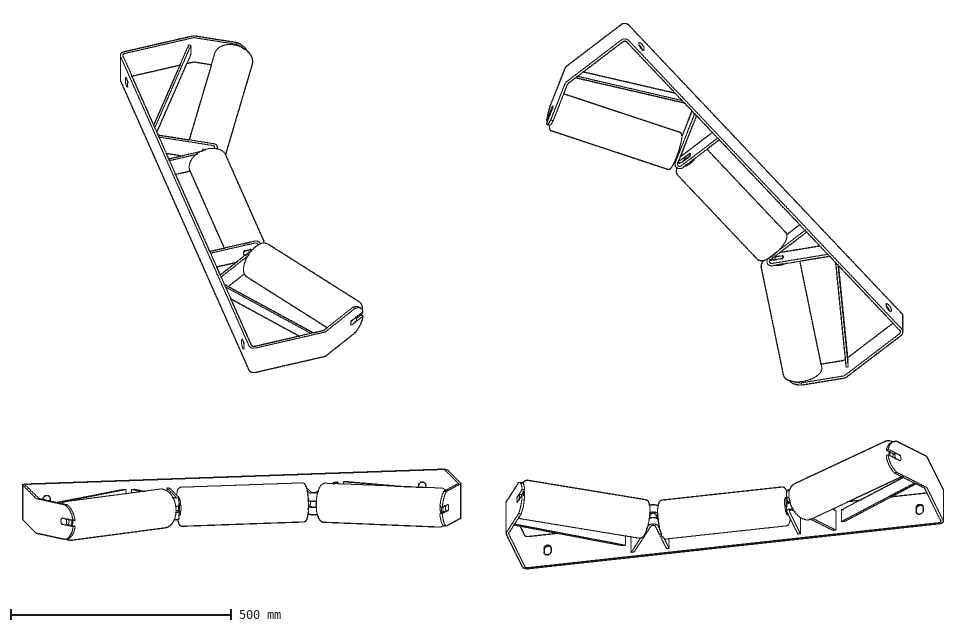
import cadquery as cq
import math


frame_length = 980.0
strip_thickness = 6.0
frame_height = 80.0
trough_angle = 30.0
center_support_gap = 300.0
wing_support_gap = 298.0

roller_diameter = 89.0
roller_length = 291.0
roller_edge_radius = 6.0
hub_diameter = 40.0
hub_length = 3.0
shaft_diameter = 20.0
shaft_flat_width = 14.0
shaft_length = wing_support_gap + 2 * strip_thickness
center_axis_y = 100.0
bracket_axis_z = 34.0
frame_axis_z = 41.0
wing_axis_height = 96.0

frame_corner_radius = 12.0
wing_bend_y = 177.8
wing_plate_length = 128.5
wing_end_rise = 28.0
mount_slot_offset = 433.0
mount_slot_width = 17.0
mount_slot_height = 25.0

bracket_height = 50.0
bracket_base_z = 10.0
bracket_bend_radius = 11.0

brace_angle = 35.2
brace_thickness = 5.0
brace_height = 30.0
brace_base_z = 30.0
brace_foot_x = 251.0

half_length = frame_length / 2
cos_trough = math.cos(math.radians(trough_angle))
sin_trough = math.sin(math.radians(trough_angle))
wing_normal = cq.Vector(cos_trough, -sin_trough, 0)
wing_along = cq.Vector(sin_trough, cos_trough, 0)
wing_bend = cq.Vector(-half_length, wing_bend_y, 0)
to_roller_middle = strip_thickness + wing_support_gap / 2
wing_center_z = (bracket_axis_z + frame_axis_z) / 2
wing_tilt = math.degrees(math.asin((frame_axis_z - bracket_axis_z) / wing_support_gap))


def wing_point(depth, along):
    """Point in the XY plane, measured from the outer face of the left wing plate."""
    return wing_bend + wing_normal * depth + wing_along * along


wing_center = wing_point(to_roller_middle, wing_axis_height)

center_place = cq.Location(cq.Vector(0, center_axis_y, bracket_axis_z))
wing_place = (
    cq.Location(cq.Vector(wing_center.x, wing_center.y, wing_center_z))
    * cq.Location(cq.Vector(), cq.Vector(0, 0, 1), -trough_angle)
    * cq.Location(cq.Vector(), cq.Vector(0, 1, 0), wing_tilt)
)


def mirrored(body):
    """Copy of a left-hand body on the right-hand side."""
    return body.mirror("YZ")


def x_cylinder(diameter, length):
    """Cylinder centred on the origin along X."""
    return cq.Workplane("YZ", origin=(-length / 2, 0, 0)).circle(diameter / 2).extrude(length)


def make_roller():
    """Roller with its hubs and flatted shaft, centred on the origin along X."""
    shell = x_cylinder(roller_diameter, roller_length).faces("<X or >X").edges().fillet(roller_edge_radius)
    hubs = x_cylinder(hub_diameter, roller_length + 2 * hub_length)
    flats = cq.Workplane().box(shaft_length, shaft_diameter, shaft_flat_width)
    shaft = x_cylinder(shaft_diameter, shaft_length).intersect(flats)
    return shell.union(hubs).union(shaft)


def make_shaft_slots():
    """Cutter for the slots that hold a shaft: round bottom, open towards local +Y."""
    cutter_length = shaft_length + 2 * strip_thickness
    cutter_rise = roller_diameter
    opening = cq.Workplane().box(cutter_length, cutter_rise, shaft_flat_width)
    opening = opening.translate((0, cutter_rise / 2, 0))
    flats = cq.Workplane().box(cutter_length, shaft_diameter, shaft_flat_width)
    return opening.union(x_cylinder(shaft_diameter, cutter_length).intersect(flats))


def bent_strip(outer_points, bend_radius, thickness, height):
    """Upright closed band with its outer face along the points and every corner bent."""
    outline = cq.Workplane("XY").polyline(outer_points).close()
    bend_centers = outline.offset2D(-bend_radius).val()

    def rounded_block(radius):
        return cq.Workplane("XY").add(bend_centers).toPending().offset2D(radius).extrude(height)

    outside = rounded_block(bend_radius)
    inside = rounded_block(bend_radius - thickness)
    return outside.cut(inside)


def make_wing_limit():
    """Block that holds the left half of the frame and gives the wing plate its round end."""
    shoulder = wing_plate_length - wing_end_rise
    half_height = frame_height / 2
    plane = cq.Plane(origin=(wing_bend.x, wing_bend.y, half_height), xDir=wing_along, normal=wing_normal)
    return (
        cq.Workplane(plane)
        .moveTo(-frame_length, -half_height)
        .lineTo(shoulder, -half_height)
        .threePointArc((wing_plate_length, 0), (shoulder, half_height))
        .lineTo(-frame_length, half_height)
        .close()
        .extrude(frame_length)
    )


def make_frame(shaft_slots):
    """Front strip, uprights and wing plates bent from one length of flat bar."""
    tip = wing_point(0, 2 * wing_plate_length)
    band = bent_strip(
        [
            (-half_length, 0),
            (half_length, 0),
            (half_length, wing_bend_y),
            (-tip.x, tip.y),
            (tip.x, tip.y),
            (-half_length, wing_bend_y),
        ],
        frame_corner_radius,
        strip_thickness,
        frame_height,
    )
    left_side = cq.Workplane().box(frame_length, frame_length, frame_length)
    left_side = left_side.translate((-half_length, 0, 0))
    left_half = band.intersect(make_wing_limit()).cut(shaft_slots).intersect(left_side)
    mount_slots = (
        cq.Workplane("XZ", origin=(0, 0, frame_height / 2))
        .pushPoints([(-mount_slot_offset, 0), (mount_slot_offset, 0)])
        .slot2D(mount_slot_height, mount_slot_width, 90)
        .extrude(-strip_thickness)
    )
    return left_half.union(mirrored(left_half)).cut(mount_slots)


def make_left_bracket(wing_slots, center_slots):
    """Inverted V with one leg square to the wing roller and one square to the centre roller."""
    upright_x = -center_support_gap / 2
    depth = strip_thickness + wing_support_gap
    face = wing_point(depth, 0)
    apex_along = (upright_x - face.x) / sin_trough
    apex = wing_point(depth, apex_along)
    foot = wing_point(depth, apex_along - 2 * apex.y)
    band = bent_strip(
        [(apex.x, apex.y), (foot.x, foot.y), (upright_x, foot.y)],
        bracket_bend_radius,
        strip_thickness,
        bracket_height,
    )
    above_strip = cq.Workplane().box(frame_length, frame_length, frame_length)
    above_strip = above_strip.translate((0, half_length + strip_thickness, 0))
    band = band.translate((0, 0, bracket_base_z))
    return band.intersect(above_strip).cut(wing_slots).cut(center_slots)


def make_left_brace():
    """Flat diagonal from the upright, where its corner touches, down to the front strip."""
    rise = math.sin(math.radians(brace_angle))
    run = math.cos(math.radians(brace_angle))
    inner_x = -half_length + strip_thickness
    foot_width = brace_thickness / rise
    lower_length = (-brace_foot_x - foot_width - inner_x) / run
    corner = (inner_x, strip_thickness + lower_length * rise)
    return (
        cq.Workplane("XY", origin=(0, 0, brace_base_z))
        .moveTo(-brace_foot_x, strip_thickness)
        .lineTo(-brace_foot_x - foot_width, strip_thickness)
        .lineTo(*corner)
        .lineTo(corner[0] + brace_thickness * rise, corner[1] + brace_thickness * run)
        .close()
        .extrude(brace_height)
    )


roller = make_roller().val()
slots = make_shaft_slots().val()
wing_slots = cq.Workplane(slots.moved(wing_place))
center_slots = cq.Workplane(slots.moved(center_place))

frame = make_frame(wing_slots)
center_roller = cq.Workplane(roller.moved(center_place))
left_roller = cq.Workplane(roller.moved(wing_place))
left_bracket = make_left_bracket(wing_slots, center_slots)
left_brace = make_left_brace()

bodies = [frame.val(), center_roller.val()]
for body in (left_roller, left_bracket, left_brace):
    bodies += [body.val(), mirrored(body).val()]

result = cq.Compound.makeCompound(bodies)